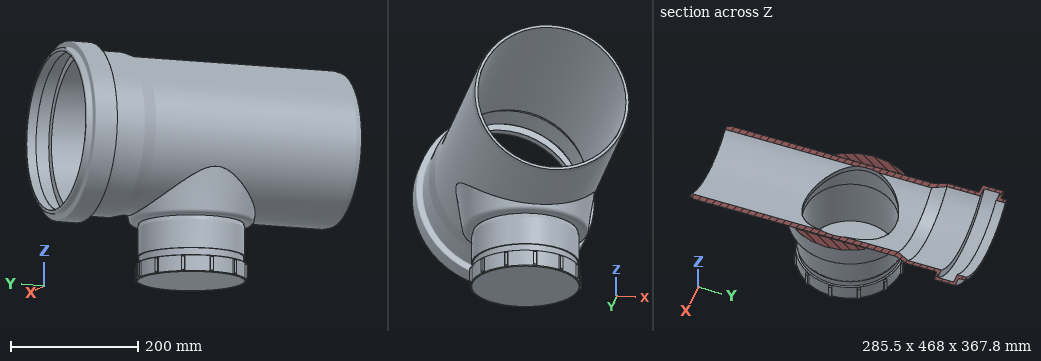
import cadquery as cq
import math

pipe_length = 468.0
pipe_outer_radius = 250.5 / 2
pipe_bore_radius = 236.5 / 2
end_chamfer_length = 9.0
end_chamfer_depth = 2.5

flare_start = 348.0
flare_end = 369.5
socket_outer_radius = 261.5 / 2
socket_bore_radius = 251.0 / 2
bulge_outer_radius = 285.5 / 2
bulge_groove_radius = 274.5 / 2
bulge_start = 420.5
bulge_end = 457.5
lip_outer_radius = 262.0 / 2
lip_bore_radius = 251.5 / 2
bulge_wall = bulge_outer_radius - bulge_groove_radius
socket_rounding = 2.0

branch_y = 239.5
branch_bore_radius = 152.0 / 2
saddle_top_depth = 47.0
saddle_top_radius = 112.0
saddle_rim_depth = 127.5
saddle_rim_radius = 99.0
saddle_bottom_depth = 134.5
saddle_bottom_radius = 182.0 / 2

tube_radius = 169.0 / 2
tube_neck_radius = 165.0 / 2
tube_flare_depth = 142.0
tube_step_depth = 186.5

cap_bottom_depth = 225.0
cap_height = 26.5
cap_radius = 171.8 / 2
cap_floor = 5.5
cap_bottom_chamfer = 1.5
cap_top_depth = cap_bottom_depth - cap_height
cap_floor_depth = cap_bottom_depth - cap_floor

rib_count = 12
rib_outer_radius = 178.0 / 2
rib_width = 5.0
rib_end_gap = 1.0
rib_bevel = 2.0


def branch_cylinder(radius, top_depth, bottom_depth):
    """Solid cylinder on the branch axis between two depths below the pipe axis."""
    height = bottom_depth - top_depth
    return cq.Workplane("XY", origin=(0, branch_y, -bottom_depth)).circle(radius).extrude(height)


def branch_revolve(profile):
    """Solid of revolution on the branch axis; each profile point is (radius, depth)."""
    points = [(radius, -depth) for radius, depth in profile]
    section = cq.Workplane("XZ", origin=(0, branch_y, 0)).polyline(points).close()
    return section.revolve(360, (0, 0, 0), (0, 1, 0))


def branch_bore():
    return branch_cylinder(branch_bore_radius, 0, cap_floor_depth)


def pipe_rounded_edges(body):
    """Select the circular edges at the corners of the bulge and at the outer edge of the mouth."""
    tolerance = 0.05
    corners = [
        (socket_outer_radius, bulge_start),
        (bulge_outer_radius, bulge_start),
        (bulge_outer_radius, bulge_end),
        (lip_outer_radius, bulge_end),
        (lip_outer_radius, pipe_length),
    ]

    def is_corner(edge):
        if edge.geomType() != "CIRCLE":
            return False
        y = edge.Center().y
        return any(
            abs(edge.radius() - radius) < tolerance and abs(y - corner_y) < tolerance
            for radius, corner_y in corners
        )

    return body.newObject([edge for edge in body.edges().vals() if is_corner(edge)])


def make_pipe():
    """Pipe with a chamfered plain end and a flared socket with a hollow bulge."""
    profile = [
        (pipe_bore_radius, 0),
        (pipe_outer_radius - end_chamfer_depth, 0),
        (pipe_outer_radius, end_chamfer_length),
        (pipe_outer_radius, flare_start),
        (socket_outer_radius, flare_end),
        (socket_outer_radius, bulge_start),
        (bulge_outer_radius, bulge_start),
        (bulge_outer_radius, bulge_end),
        (lip_outer_radius, bulge_end),
        (lip_outer_radius, pipe_length),
        (lip_bore_radius, pipe_length),
        (lip_bore_radius, bulge_end - bulge_wall),
        (bulge_groove_radius, bulge_end - bulge_wall),
        (bulge_groove_radius, bulge_start + bulge_wall),
        (socket_bore_radius, bulge_start + bulge_wall),
        (socket_bore_radius, flare_end),
        (pipe_bore_radius, flare_start),
    ]
    body = cq.Workplane("XY").polyline(profile).close().revolve(360, (0, 0, 0), (0, 1, 0))
    body = pipe_rounded_edges(body).fillet(socket_rounding)
    return body.cut(branch_bore())


def make_saddle():
    """Cone fitted against the underside of the pipe, with a rounded lower rim."""
    rounding_depth = saddle_bottom_depth - saddle_rim_depth
    rounding_width = saddle_rim_radius - saddle_bottom_radius
    rounding_middle = (
        saddle_bottom_radius + rounding_width * math.sqrt(0.5),
        -(saddle_rim_depth + rounding_depth * math.sqrt(0.5)),
    )
    cone = (
        cq.Workplane("XZ", origin=(0, branch_y, 0))
        .moveTo(0, -saddle_top_depth)
        .lineTo(saddle_top_radius, -saddle_top_depth)
        .lineTo(saddle_rim_radius, -saddle_rim_depth)
        .threePointArc(rounding_middle, (saddle_bottom_radius, -saddle_bottom_depth))
        .lineTo(0, -saddle_bottom_depth)
        .close()
        .revolve(360, (0, 0, 0), (0, 1, 0))
    )
    pipe_envelope = cq.Workplane("XZ").circle(pipe_outer_radius).extrude(-pipe_length)
    return cone.cut(pipe_envelope).cut(branch_bore())


def make_tube():
    """Branch tube that flares out below the saddle and steps in above the cap."""
    profile = [
        (branch_bore_radius, saddle_bottom_depth),
        (tube_neck_radius, saddle_bottom_depth),
        (tube_radius, tube_flare_depth),
        (tube_radius, tube_step_depth),
        (tube_neck_radius, tube_step_depth),
        (tube_neck_radius, cap_floor_depth),
        (branch_bore_radius, cap_floor_depth),
    ]
    return branch_revolve(profile)


def make_cap():
    """Closed cap with evenly spaced upright grip ribs, each bevelled at both ends."""
    cap = branch_cylinder(cap_radius, cap_top_depth, cap_bottom_depth)
    cap = cap.faces("<Z").chamfer(cap_bottom_chamfer)

    rib_height = cap_height - 2 * rib_end_gap
    rib = cq.Workplane("XY").box(rib_outer_radius, rib_width, rib_height, centered=(False, True, False))
    rib = rib.faces(">X").edges("|Y").chamfer(rib_bevel)
    rib_bottom_z = -cap_bottom_depth + rib_end_gap
    for index in range(rib_count):
        turned_rib = rib.rotate((0, 0, 0), (0, 0, 1), index * 360 / rib_count)
        cap = cap.union(turned_rib.translate((0, branch_y, rib_bottom_z)))

    return cap.cut(branch_cylinder(tube_neck_radius, cap_top_depth, cap_floor_depth))


pipe = make_pipe()
saddle = make_saddle()
tube = make_tube()
cap = make_cap()

bodies = [pipe, saddle, tube, cap]
result = cq.Compound.makeCompound([body.solids().val() for body in bodies])